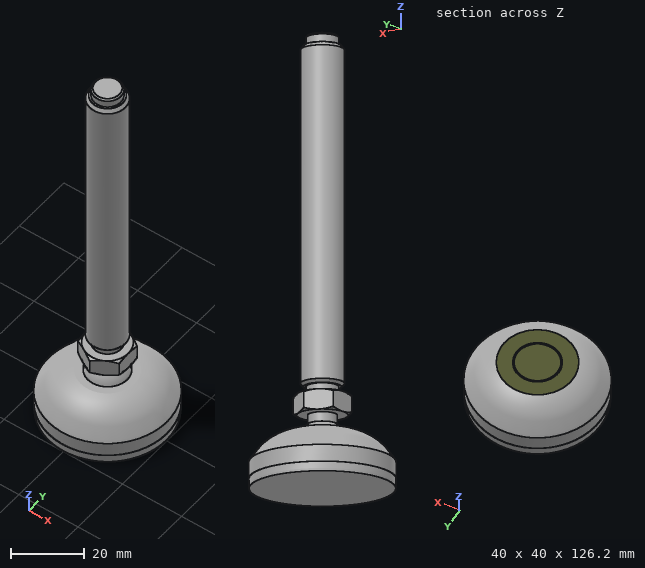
import cadquery as cq
import math

total_height = 126.2
pad_height = 2.7
rim_height = 7.3
dome_base_height = 8.0
dome_top_height = 15.5
hex_bottom = 20.5
hex_top = 26.1
rod_bottom = 28.4
rod_top = 123.4

foot_radius = 40.0 / 2
pad_chamfer = 0.8
pad_inset = 0.06
dome_base_radius = 19.5
dome_mid_radius = 15.1
dome_mid_height = 12.9
dome_top_radius = 9.1

ball_radius = 14.0 / 2
ball_center_height = 12.1
socket_mouth_radius = 13.3 / 2
socket_floor_height = ball_center_height + math.sqrt(ball_radius**2 - socket_mouth_radius**2)
lower_neck_radius = 8.1 / 2
upper_neck_radius = 9.0 / 2
rod_radius = 12.0 / 2
rod_chamfer = 0.9
rod_top_chamfer_height = 1.1
tip_chamfer = 0.5

hex_across_flats = 14.0
hex_across_corners = hex_across_flats / math.cos(math.radians(30))
hex_bevel_angle = 30


def cylinder(radius, bottom, top):
    return cq.Workplane("XY").workplane(offset=bottom).circle(radius).extrude(top - bottom)


def make_foot():
    """Round pad with a bevelled rim and a domed top ending in a small flat."""
    pad_radius = foot_radius - pad_inset
    pad = cylinder(pad_radius, 0, pad_height).faces("<Z").chamfer(pad_chamfer, pad_inset)
    cover = (
        cq.Workplane("XZ")
        .moveTo(0, pad_height)
        .lineTo(foot_radius, pad_height)
        .lineTo(foot_radius, rim_height)
        .lineTo(dome_base_radius, dome_base_height)
        .threePointArc((dome_mid_radius, dome_mid_height), (dome_top_radius, dome_top_height))
        .lineTo(0, dome_top_height)
        .close()
        .revolve(360, (0, 0), (0, 1))
    )
    return pad.union(cover)


def make_hexagon():
    """Spanner hexagon with its corners bevelled by a cone at both ends."""
    height = hex_top - hex_bottom
    corner_radius = hex_across_corners / 2
    bevel_width = corner_radius - hex_across_flats / 2
    bevel_height = bevel_width * math.tan(math.radians(hex_bevel_angle))
    prism = (
        cq.Workplane("XY")
        .workplane(offset=hex_bottom)
        .transformed(rotate=(0, 0, 90))
        .polygon(6, hex_across_corners)
        .extrude(height)
    )
    envelope = (
        cylinder(corner_radius, hex_bottom, hex_top)
        .faces("<Z or >Z")
        .edges()
        .chamfer(bevel_height, bevel_width)
    )
    return prism.intersect(envelope)


def make_rod():
    """Plain shank with bevelled ends and a narrower tip."""
    return (
        cq.Workplane("XZ")
        .moveTo(0, rod_bottom)
        .lineTo(rod_radius - rod_chamfer, rod_bottom)
        .lineTo(rod_radius, rod_bottom + rod_chamfer)
        .lineTo(rod_radius, rod_top - rod_top_chamfer_height)
        .lineTo(rod_radius - rod_chamfer, rod_top)
        .lineTo(upper_neck_radius, rod_top)
        .lineTo(upper_neck_radius, total_height - tip_chamfer)
        .lineTo(upper_neck_radius - tip_chamfer, total_height)
        .lineTo(0, total_height)
        .close()
        .revolve(360, (0, 0), (0, 1))
    )


ball = cq.Workplane("XY").sphere(ball_radius).translate((0, 0, ball_center_height))
lower_neck = cylinder(lower_neck_radius, ball_center_height, hex_bottom)
upper_neck = cylinder(upper_neck_radius, hex_top, rod_bottom)

socket = cylinder(socket_mouth_radius, socket_floor_height, dome_top_height)

result = make_foot().cut(socket)
for piece in (ball, lower_neck, make_hexagon(), upper_neck, make_rod()):
    result = result.union(piece)